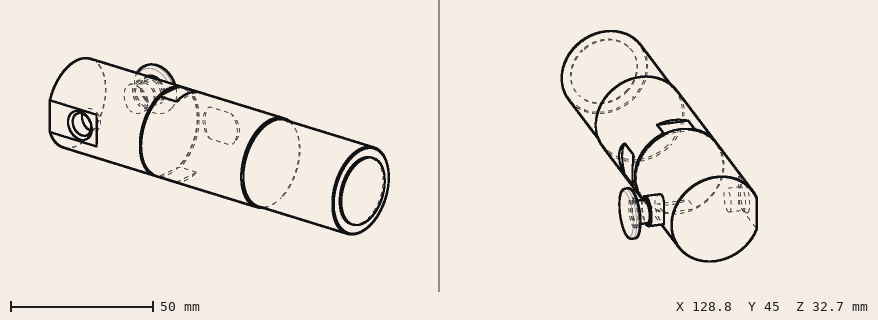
import cadquery as cq

length = 128.8
barrel_dia = 32.7
sleeve_dia = 31.8
rear_cap_dia = 24.5
head_end = 41.5
ring_end = 87.1
rear_face = 128.0
front_chamfer = 0.1
joint_width = 0.6
joint_depth = 0.4
ring_slope_length = 0.6
rear_chamfer = 0.4

port_flat_depth = 1.2
port_flat_length = 21.1
wrench_flat_depth = 1.0
wrench_flat_end = 49.5
relief_x = 52.4
relief_dia = 15.5
relief_depth = 1.2

port_x = 13.7
port_mouth_dia = 10.7
port_dia = 8.4
port_chamfer = (port_mouth_dia - port_dia) / 2
port_depth = 6.5
boss_dia = 10.7
neck_dia = 8.4
flange_dia = 17.9
boss_end = 21.4
collar_start = 25.0
flange_start = 26.0
fitting_end = 28.6
boss_chamfer = 0.4
flange_fillet = 0.9

barrel_radius = barrel_dia / 2
port_flat_level = barrel_radius - port_flat_depth


def make_barrel():
    sleeve_radius = sleeve_dia / 2
    profile = [
        (0, 0),
        (0, barrel_radius - front_chamfer),
        (front_chamfer, barrel_radius),
        (head_end, barrel_radius),
        (head_end, barrel_radius - joint_depth),
        (head_end + joint_width, barrel_radius),
        (ring_end, barrel_radius),
        (ring_end + ring_slope_length, sleeve_radius),
        (rear_face - rear_chamfer, sleeve_radius),
        (rear_face, sleeve_radius - rear_chamfer),
        (rear_face, rear_cap_dia / 2),
        (length, rear_cap_dia / 2),
        (length, 0),
    ]
    return cq.Workplane("XY").polyline(profile).close().revolve(360, (0, 0, 0), (1, 0, 0))


def y_cylinder(x, diameter, start, end):
    """Cylinder along Y, centred on the given X."""
    disc = cq.Workplane("XZ", origin=(x, start, 0)).circle(diameter / 2)
    return disc.extrude(start - end)


def make_fitting():
    """Boss, neck, collar and rounded flange standing out of the +Y side."""
    boss = y_cylinder(port_x, boss_dia, 0, boss_end).faces(">Y").chamfer(boss_chamfer)
    neck = y_cylinder(port_x, neck_dia, 0, flange_start)
    collar = y_cylinder(port_x, boss_dia, collar_start, flange_start)
    collar = collar.faces("<Y").chamfer(boss_chamfer)
    flange = y_cylinder(port_x, flange_dia, flange_start, fitting_end)
    flange = flange.edges().fillet(flange_fillet)
    return boss.union(neck).union(collar).union(flange)


def make_port_flat():
    """Cutter on the -Y side: flat floor whose rear end climbs at 45 degrees."""
    outline = [
        (0, -port_flat_level),
        (port_flat_length, -port_flat_level),
        (port_flat_length + port_flat_depth, -barrel_radius),
        (0, -barrel_radius),
    ]
    return cq.Workplane("XY").polyline(outline).close().extrude(barrel_radius, both=True)


def make_wrench_flats():
    """Cutters for the two opposite flats above and below the axis."""
    slab = cq.Workplane("XY").box(
        wrench_flat_end - head_end, barrel_dia, wrench_flat_depth, centered=(False, True, False)
    )
    upper = slab.translate((head_end, 0, barrel_radius - wrench_flat_depth))
    return upper.union(upper.mirror("XY"))


def make_relief():
    """Shallow round spot face on the +Y side."""
    return y_cylinder(relief_x, relief_dia, barrel_radius - relief_depth, barrel_radius)


def make_port():
    """Blind hole with a countersunk mouth, starting on the port flat."""
    mouth_y = -port_flat_level
    floor_y = mouth_y + port_depth
    profile = [
        (0, mouth_y),
        (port_mouth_dia / 2, mouth_y),
        (port_dia / 2, mouth_y + port_chamfer),
        (port_dia / 2, floor_y),
        (0, floor_y),
    ]
    hole = cq.Workplane("XY").polyline(profile).close().revolve(360, (0, 0, 0), (0, 1, 0))
    return hole.translate((port_x, 0, 0))


result = make_barrel().union(make_fitting())
for cutter in (make_port_flat(), make_wrench_flats(), make_relief(), make_port()):
    result = result.cut(cutter)